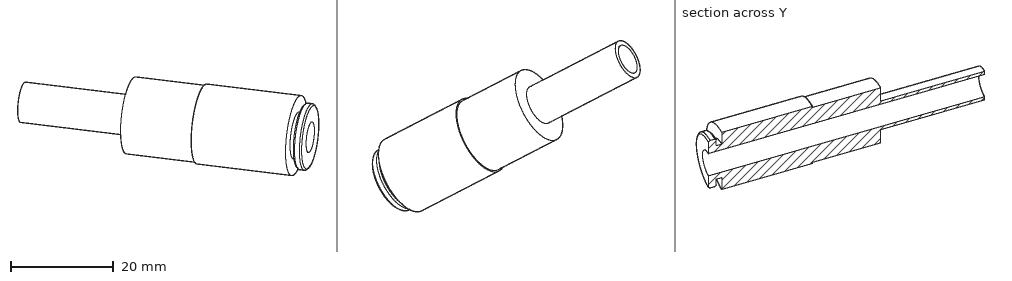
import cadquery as cq

total_length = 58.2
tube_length = 21.9
rear_body_length = 14.4
front_body_length = 19.15
collar_length = 1.7
collar_chamfer = 0.35

bore_diameter = 6.0
tube_diameter = 8.0
rear_body_diameter = 15.2
front_body_diameter = 15.8
neck_diameter = 9.3
collar_diameter = 13.15

tube_start = -total_length / 2
rear_body_start = tube_start + tube_length
front_body_start = rear_body_start + rear_body_length
neck_start = front_body_start + front_body_length
collar_end = tube_start + total_length
collar_start = collar_end - collar_length


def cylinder(start, end, diameter):
    """Solid cylinder on the X axis between two stations."""
    return cq.Workplane("YZ", origin=(start, 0, 0)).circle(diameter / 2).extrude(end - start)


tube = cylinder(tube_start, rear_body_start, tube_diameter)
rear_body = cylinder(rear_body_start, front_body_start, rear_body_diameter)
front_body = cylinder(front_body_start, neck_start, front_body_diameter)
neck = cylinder(neck_start, collar_start, neck_diameter)
collar = cylinder(collar_start, collar_end, collar_diameter).edges().chamfer(collar_chamfer)

bore = cylinder(tube_start, collar_end, bore_diameter)

result = tube.union(rear_body).union(front_body).union(neck).union(collar).cut(bore)